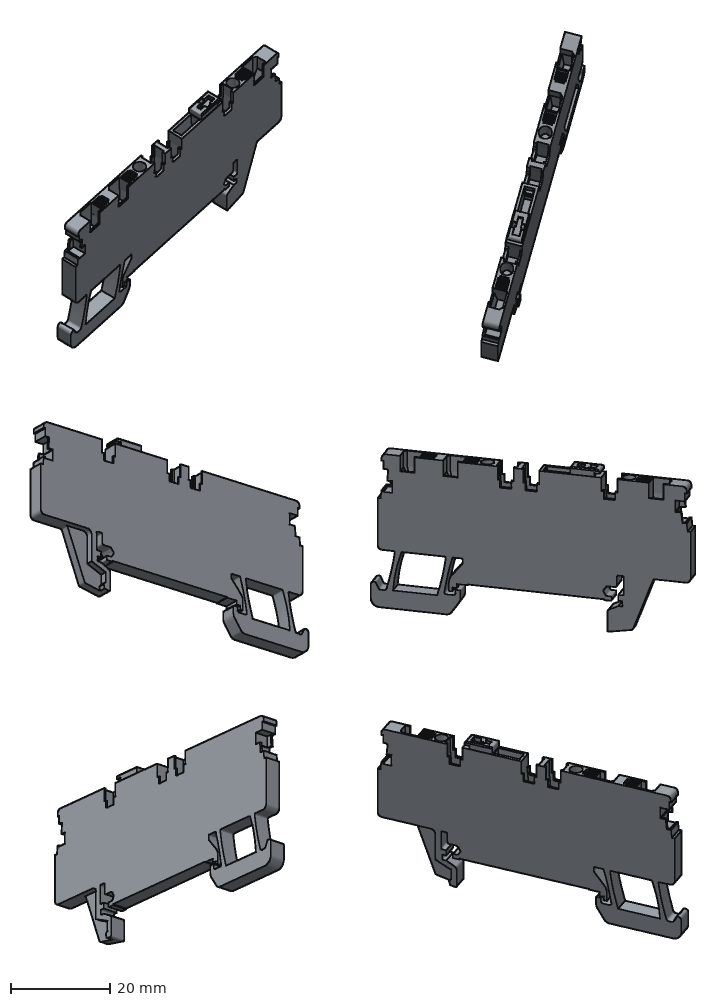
import cadquery as cq
import math

thickness = 3.5
left_face = -thickness / 2
right_face = thickness / 2
body_half_length = 32.85
body_round = 1.0
body_top = 33.3
body_under = 12.5
keel_bottom = 7.0
corner_round = 0.3
through = 0.7

lip_end = 32.05
lip_round = 0.95
lip_under = 31.85
step_end = 31.65
step_under = 30.1
neck_end = 30.6
neck_foot_end = 31.1
snap_middle = 27.6
snap_floor = 25.1
neck_foot = 25.4
shoulder_end = 23.65
snap_wall = 0.5
snap_upper_inset = 29.6
snap_lower_inset = 29.8

arm_outer = 25.05
arm_tip = 15.4
arm_inner = 18.8
web_recess = 1.5
rim_edge = 20.1
rim_tip_edge = 16.6

foot_tip = -34.3
foot_start = -15.45
window_sill = 3.95
strut_bend = 47.0
window_bend = 30.2

notch_centres = (15.8, -0.6, -6.0)
notch_undercuts = ((0.6, 0.0), (0.0, 0.4), (0.5, 0.35))
notch_width = 3.35
notch_floor_width = 2.4
notch_step = 30.4
notch_floor = 28.75
undercut_floor = 25.5
undercut_left = -1.35
undercut_right = 1.1

entry_places = ((24.1, 1), (-15.05, -1), (-24.1, -1))
entry_length = 4.0
entry_left = -1.35
entry_right = 1.35
entry_straight_depth = 3.35
entry_funnel_depth = 2.7
entry_corner = 0.6
entry_floor_left = -1.0
entry_floor_right = 0.6
entry_floor_near = 0.3
entry_floor_far = 2.8
entry_floor_corner = 0.1
entry_gap_wall = 1.0

button_left = -1.15
button_right = 1.2
button_gap = 0.3
button_length = 2.15
button_nose_length = 0.5
button_nose_width = 1.75
button_sink = 0.3
button_nose_sink = 0.7
button_depth = 3.35
groove_count = 3
groove_width = 0.3
groove_depth = 0.2

test_hole_ys = (19.5, -10.3)
test_hole_radius = 1.35
test_hole_floor_radius = 0.95
test_hole_depth = 4.0

jumper_near = 7.4
jumper_far = 1.75
jumper_width = 2.15
jumper_floor_width = 1.6
jumper_depth = 4.0
jumper_step_length = 0.7
jumper_step_count = 2
jumper_step_rise = 1.0

plug_top = 34.85
plug_near = 7.5
plug_far = 13.7
plug_foot_far = 12.55
plug_lip_under = 34.05
plug_lip_round = 0.6
plug_width = 3.35
plug_edge = 0.3
cross_far = 12.6
cross_near = 8.65
cross_far_width = 1.5
cross_near_width = 1.0
cross_arm_span = 2.55
cross_arm_width = 1.3
cross_arm_centre = 10.55
cross_depth = 1.0


def rounded_outline(corners, x_start):
    """Closed outline in a YZ plane; each corner is (y, z) or (y, z, radius)."""
    arcs = []
    for i, corner in enumerate(corners):
        here = cq.Vector(corner[0], corner[1])
        before = corners[i - 1]
        after = corners[(i + 1) % len(corners)]
        if len(corner) == 2:
            arcs.append((here, None, here))
            continue
        radius = corner[2]
        to_before = (cq.Vector(before[0], before[1]) - here).normalized()
        to_after = (cq.Vector(after[0], after[1]) - here).normalized()
        half_angle = to_before.getAngle(to_after) / 2
        reach = radius / math.tan(half_angle)
        bisector = (to_before + to_after).normalized()
        middle = here + bisector * (radius / math.sin(half_angle) - radius)
        arcs.append((here + to_before * reach, middle, here + to_after * reach))

    path = cq.Workplane("YZ", origin=(x_start, 0, 0)).moveTo(*arcs[0][2].toTuple()[:2])
    for start, middle, end in arcs[1:] + arcs[:1]:
        path = path.lineTo(*start.toTuple()[:2])
        if middle is not None:
            path = path.threePointArc(middle.toTuple()[:2], end.toTuple()[:2])
    return path.close()


def box(x_range, y_range, z_range):
    """Box between two limits, in either order, on each axis."""
    sizes = [abs(b - a) for a, b in (x_range, y_range, z_range)]
    centre = [(a + b) / 2 for a, b in (x_range, y_range, z_range)]
    return cq.Workplane("XY", origin=tuple(centre)).box(*sizes)


def tapered_pocket(mouth, floor, top, depth):
    """Cutter that narrows from its mouth to its floor."""
    return (
        cq.Workplane("XY", origin=(0, 0, top)).polyline(mouth).close()
        .workplane(offset=-depth).polyline(floor).close()
        .loft(ruled=True)
    )


def end_profile(side):
    """Snap steps of one end, from the top corner down to the bottom corner."""
    profile = [
        (lip_end, body_top, lip_round),
        (lip_end, lip_under),
        (step_end, lip_under),
        (step_end, step_under),
        (neck_end, step_under, 0.35),
        (neck_foot_end, neck_foot),
        (lip_end, neck_foot),
        (32.25, shoulder_end),
        (body_half_length, shoulder_end),
        (body_half_length, body_under, body_round),
    ]
    return [(side * corner[0], *corner[1:]) for corner in profile]


clip_arm = [
    (arm_outer, body_under, 0.35),
    (20.7, 1.0, 0.7),
    (arm_tip, 0.0, 0.3),
    (arm_tip, 4.7, 0.7),
    (17.65, 5.85),
    (18.55, 5.85, 0.2),
    (18.55, 7.0, 0.15),
    (17.65, 7.0),
    (17.65, 8.25),
    (arm_inner, 8.25, 0.35),
]

latch_gap = [
    (arm_inner, body_under, 0.4),
    (17.4, body_under, 0.4),
    (17.4, 9.9, 0.5),
    (15.25, 9.9, 0.55),
    (14.45, 8.8, 0.5),
    (15.1, 7.8, 0.4),
    (16.25, 7.8, 0.2),
    (16.25, 6.8, 0.2),
    (14.8, 6.8),
    (14.8, keel_bottom),
]

keel_hook = [
    (-13.9, keel_bottom),
    (-13.9, 6.85),
    (-16.25, 6.85),
    (-16.25, 6.0),
    (-17.2, 6.0),
    (-17.2, 5.2),
    (-17.9, 5.2),
    (-17.9, 8.0, 2.7),
    (-15.0, 11.4, 0.4),
]

spring_gap = [
    (-15.0, body_under, 0.3),
    (-17.1, body_under, 0.35),
    (-18.0, 9.5, strut_bend),
    (-18.95, 4.35, 0.5),
    (-16.5, 4.35, 0.55),
    (-16.5, 5.6),
]

foot = [
    (foot_start, 5.6, 0.2),
    (foot_start, 3.35, 2.0),
    (-17.7, 0.0, 1.35),
    (foot_tip, 0.0, 1.9),
    (foot_tip, 5.45, 0.75),
    (-33.3, 5.45, 0.35),
    (-32.5, 3.8, 0.55),
    (-31.1, 3.8, 0.6),
    (-29.9, 8.4, strut_bend),
    (-29.2, body_under, 0.3),
]

window = [
    (-18.55, body_under, 0.3),
    (-19.1, 8.5, strut_bend),
    (-20.35, window_sill),
    (-29.6, window_sill),
    (-29.3, 8.2, window_bend),
    (-27.8, body_under, 0.35),
]


def housing_plate():
    outline = end_profile(1) + clip_arm + latch_gap + keel_hook + spring_gap + foot
    outline += reversed(end_profile(-1))
    plate = rounded_outline(outline, left_face).extrude(thickness)
    return plate.cut(rounded_outline(window, left_face).extrude(thickness))


def arm_web_recess():
    """Leaves the clip arm as a web behind a raised rim."""
    below = -through
    outline = [
        (arm_outer + through, body_under),
        (rim_edge, body_under, 1.1),
        (rim_edge, 5.45),
        (rim_tip_edge, 3.95),
        (rim_tip_edge, 1.75),
        (17.05, 1.15),
        (16.5, below),
        (arm_outer + through, below),
    ]
    return rounded_outline(outline, left_face).extrude(web_recess)


def snap_recess(side, from_left, inset, z_range):
    """Recess at one end, open to one face and leaving a thin wall at the other."""
    x_range = (left_face, right_face - snap_wall) if from_left else (left_face + snap_wall, right_face)
    return box(x_range, (side * inset, side * step_end), z_range)


def skin_notch(centre):
    """Stepped notch through the full thickness."""
    half = notch_width / 2
    floor_half = notch_floor_width / 2
    outline = [
        (centre + half, body_top),
        (centre + half, notch_step),
        (centre + floor_half, notch_step),
        (centre + floor_half, notch_floor, corner_round),
        (centre - floor_half, notch_floor, corner_round),
        (centre - floor_half, notch_step),
        (centre - half, notch_step),
        (centre - half, body_top),
    ]
    return rounded_outline(outline, left_face).extrude(thickness)


def core_notch(centre, reach_plus, reach_minus):
    """Deeper, longer notch between the two side skins, tapering below the step."""
    plus = centre + reach_plus
    minus = centre - reach_minus
    half = notch_width / 2
    floor_half = notch_floor_width / 2
    outline = [
        (plus + half, body_top),
        (plus + half, notch_step),
        (plus + floor_half, undercut_floor),
        (minus - floor_half, undercut_floor),
        (minus - half, notch_step),
        (minus - half, body_top),
    ]
    return rounded_outline(outline, undercut_left).extrude(undercut_right - undercut_left)


def wire_entry(edge, out):
    """Straight shaft over a funnel, with one cut corner and mostly open to the right face."""
    def outline(near, far, left, right, corner):
        return [
            (left, edge + out * near),
            (right, edge + out * near),
            (right, edge + out * far),
            (left + corner, edge + out * far),
            (left, edge + out * (far - corner)),
        ]

    mouth = outline(0, entry_length, entry_left, entry_right, entry_corner)
    floor = outline(
        entry_floor_near, entry_floor_far, entry_floor_left, entry_floor_right, entry_floor_corner
    )
    ends = (edge, edge + out * entry_length)
    shaft_floor = body_top - entry_straight_depth
    side_gap = box(
        (entry_right, right_face),
        (min(ends), max(ends) - entry_gap_wall),
        (shaft_floor, body_top),
    )
    shaft = tapered_pocket(mouth, mouth, body_top, entry_straight_depth)
    funnel = tapered_pocket(mouth, floor, shaft_floor, entry_funnel_depth)
    return shaft.union(funnel).union(side_gap)


def button_space(edge, out, top, nose_top):
    """Shape of a push button, with its narrow nose pointing away from the wire entry."""
    near = edge - out * button_gap
    far = near - out * button_length
    floor = body_top - button_depth
    nose_centre = (button_left + button_right) / 2
    nose_half = button_nose_width / 2
    shank = box((button_left, button_right), (near, far), (floor, top))
    nose = box(
        (nose_centre - nose_half, nose_centre + nose_half),
        (far, far - out * button_nose_length),
        (floor, nose_top),
    )
    return shank.union(nose)


def test_hole(y):
    return (
        cq.Workplane("XY", origin=(0, y, body_top)).circle(test_hole_radius)
        .workplane(offset=-test_hole_depth).circle(test_hole_floor_radius)
        .loft()
    )


def jumper_slot():
    """Slot with tapered long sides and a flight of steps at its -Y end."""
    half = jumper_width / 2
    floor_half = jumper_floor_width / 2
    floor_far = jumper_far + jumper_step_count * jumper_step_length
    mouth = [(-half, jumper_near), (half, jumper_near), (half, jumper_far), (-half, jumper_far)]
    floor = [
        (-floor_half, jumper_near), (floor_half, jumper_near),
        (floor_half, floor_far), (-floor_half, floor_far),
    ]
    slot = tapered_pocket(mouth, floor, body_top, jumper_depth)
    for i in range(jumper_step_count):
        step_y = floor_far - i * jumper_step_length
        step_floor = body_top - jumper_depth + (i + 1) * jumper_step_rise
        step = box(
            (-floor_half, floor_half),
            (step_y, step_y - jumper_step_length),
            (step_floor, body_top),
        )
        slot = slot.union(step)
    return slot


def make_housing():
    housing = housing_plate().cut(arm_web_recess())
    upper_band = (snap_middle, step_under)
    lower_band = (snap_floor, snap_middle)
    for side in (1, -1):
        housing = housing.cut(snap_recess(side, side < 0, snap_upper_inset, upper_band))
        housing = housing.cut(snap_recess(side, side > 0, snap_lower_inset, lower_band))
    for centre, (reach_plus, reach_minus) in zip(notch_centres, notch_undercuts):
        housing = housing.cut(skin_notch(centre))
        housing = housing.cut(core_notch(centre, reach_plus, reach_minus))
    for edge, out in entry_places:
        housing = housing.cut(wire_entry(edge, out))
        housing = housing.cut(button_space(edge, out, body_top, body_top))
    for y in test_hole_ys:
        housing = housing.cut(test_hole(y))
    return housing.cut(jumper_slot())


def make_button(edge, out):
    """Push button sunk into the housing, with finger grooves across its top."""
    top = body_top - button_sink
    button = button_space(edge, out, top, body_top - button_nose_sink)
    pitch = button_length / (groove_count + 1)
    for i in range(groove_count):
        y = edge - out * (button_gap + (i + 1) * pitch)
        groove = box(
            (button_left, button_right),
            (y - groove_width / 2, y + groove_width / 2),
            (top - groove_depth, top),
        )
        button = button.cut(groove)
    return button


def make_plug():
    """Plug with an overhanging lip, bevelled long edges and a cross-shaped recess."""
    outline = [
        (plug_near, body_top),
        (plug_near, plug_top, corner_round),
        (plug_far, plug_top, plug_lip_round),
        (plug_far, plug_lip_under),
        (plug_foot_far, plug_lip_under),
        (plug_foot_far, body_top),
    ]
    plug = rounded_outline(outline, -plug_width / 2).extrude(plug_width)
    section = (
        cq.Workplane("XZ", origin=(0, plug_far, body_top))
        .rect(plug_width, 2 * (plug_top - body_top))
        .extrude(plug_far - plug_near)
        .edges("|Y").chamfer(plug_edge)
    )
    plug = plug.intersect(section)
    depth_range = (plug_top - cross_depth, plug_top)
    far_slot = box(
        (-cross_far_width / 2, cross_far_width / 2), (cross_arm_centre, cross_far), depth_range
    )
    near_slot = box(
        (-cross_near_width / 2, cross_near_width / 2), (cross_near, cross_arm_centre), depth_range
    )
    arms = (
        cq.Workplane("XY", origin=(0, cross_arm_centre, plug_top))
        .rect(cross_arm_span, cross_arm_width)
        .workplane(offset=-cross_depth).rect(cross_near_width, cross_arm_width)
        .loft(ruled=True)
    )
    return plug.cut(far_slot).cut(near_slot).cut(arms)


housing = make_housing()
plug = make_plug()
buttons = [make_button(edge, out) for edge, out in entry_places]
result = cq.Compound.makeCompound([housing.val(), plug.val(), *[button.val() for button in buttons]])